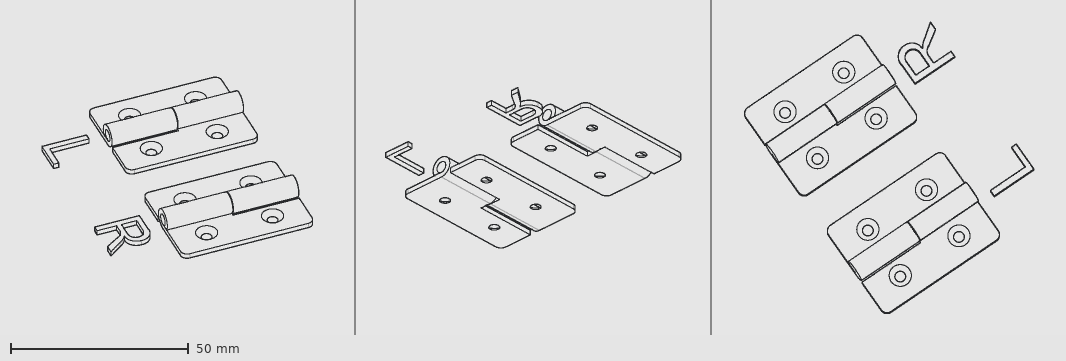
import cadquery as cq

overall_x = 71.0
overall_y = 58.25
hinge_width = 30.05
hinge_length = 40.0
sheet = 1.55
corner_radius = 2.0

knuckle_radius = 3.3
mid_clearance = 0.1
seam_gap = 0.1
notch_reach = 3.5

screw_x = 8.0
screw_y = 10.0
screw_diameter = 3.0
countersink_diameter = 6.25

letter_height = 13.6
letter_base = 0.2
l_left = -4.25
l_width = 8.7
l_stem = 1.9
l_foot = 1.6
r_width = 12.1
r_stem = 1.85
r_counter_bottom = 7.4
r_counter_top = 12.0
r_bar_bottom = 5.9
r_bowl_start = 6.25
r_leg_left = 9.5
r_counter_straight = 6.5

half_width = hinge_width / 2
half_length = hinge_length / 2
hinge_x = (overall_x - hinge_width) / 2
pin_radius = knuckle_radius - sheet
letter_y = half_length - overall_y


def block(x0, x1, y0, y1, z0, z1):
    """Box between two opposite corners."""
    return cq.Workplane("XY").box(x1 - x0, y1 - y0, z1 - z0, centered=False).translate((x0, y0, z0))


def bar(radius, y0, y1):
    """Round bar along Y on the hinge axis."""
    return (
        cq.Workplane("XZ", origin=(0, y0, knuckle_radius))
        .circle(radius)
        .extrude(y0 - y1)
    )


def cut_screw_holes(plate):
    """Two conical screw holes that taper through the whole sheet."""
    for y in (-screw_y, screw_y):
        cone = cq.Solid.makeCone(
            screw_diameter / 2, countersink_diameter / 2, sheet, pnt=cq.Vector(screw_x, y, 0)
        )
        plate = plate.cut(cq.Workplane(cone))
    return plate


def leaf_with_knuckle(is_rear):
    """Leaf on the +X side, with its knuckle on the rear (+Y) or front half."""
    plate_start = mid_clearance if is_rear else -half_length
    plate_end = half_length if is_rear else -mid_clearance

    leaf = block(notch_reach, half_width, -half_length, half_length, 0, sheet)
    leaf = leaf.edges("|Z and >X").fillet(corner_radius)
    leaf = cut_screw_holes(leaf)

    root = block(0, notch_reach, plate_start, plate_end, 0, sheet)

    knuckle = bar(knuckle_radius, plate_start, plate_end)

    seam = block(0, knuckle_radius, plate_start, plate_end, sheet, sheet + seam_gap)
    seam = seam.cut(bar(pin_radius, plate_start, plate_end))
    return leaf.union(root).union(knuckle).cut(seam)


def front_leaf():
    """Leaf whose front knuckle is bored for the pin."""
    return leaf_with_knuckle(is_rear=False).cut(bar(pin_radius, -half_length, 0))


def rear_leaf():
    """Leaf whose rear knuckle carries the pin, flush with the front knuckle."""
    pin = bar(pin_radius, -half_length, mid_clearance)
    return leaf_with_knuckle(is_rear=True).union(pin)


def letter_l():
    """Flat letter L, with its lower left corner at the origin."""
    return (
        cq.Workplane("XY")
        .polyline([
            (0, 0), (l_width, 0), (l_width, l_foot),
            (l_stem, l_foot), (l_stem, letter_height), (0, letter_height),
        ])
        .close()
        .extrude(sheet)
    )


def letter_r():
    """Flat letter R, with its lower left corner at the origin."""
    outline = (
        cq.Workplane("XY")
        .lineTo(0, letter_height)
        .lineTo(r_bowl_start, letter_height)
        .threePointArc((9.45, 12.8), (10.65, 9.8))
        .threePointArc((9.8, 7.4), (6.95, 6.2))
        .threePointArc((8.0, 5.4), (9.15, 4.0))
        .lineTo(r_width, 0)
        .lineTo(r_leg_left, 0)
        .lineTo(6.8, 4.2)
        .threePointArc((5.7, 5.55), (4.4, r_bar_bottom))
        .lineTo(r_stem, r_bar_bottom)
        .lineTo(r_stem, 0)
        .close()
        .extrude(sheet)
    )
    counter_middle = (r_counter_bottom + r_counter_top) / 2
    counter_radius = (r_counter_top - r_counter_bottom) / 2
    counter = (
        cq.Workplane("XY")
        .moveTo(r_stem, r_counter_bottom)
        .lineTo(r_counter_straight, r_counter_bottom)
        .threePointArc(
            (r_counter_straight + counter_radius, counter_middle),
            (r_counter_straight, r_counter_top),
        )
        .lineTo(r_stem, r_counter_top)
        .close()
        .extrude(sheet)
    )
    return outline.cut(counter)


left_hinge = [front_leaf().mirror("YZ"), rear_leaf()]
bodies = []
for leaf in left_hinge:
    bodies.append(leaf.translate((-hinge_x, 0, 0)).val())
    bodies.append(leaf.mirror("YZ").translate((hinge_x, 0, 0)).val())

bodies.append(letter_l().translate((l_left - hinge_x, letter_y, letter_base)).val())
bodies.append(letter_r().translate((hinge_x - r_width / 2, letter_y, letter_base)).val())

result = cq.Compound.makeCompound(bodies)